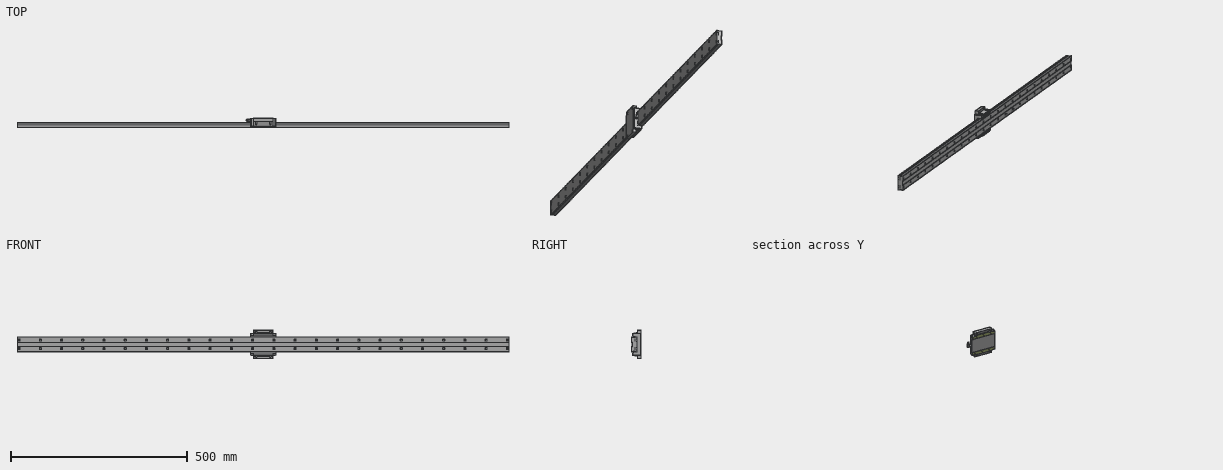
import cadquery as cq
import math


rail_length = 1390.0
rail_width = 42.0
rail_height = 15.0
rail_base_chamfer = 0.5
relief_width = 12.0
relief_depth = 1.5
side_groove_depth = 1.0
side_groove_top = 10.0
side_groove_floor_start = 5.5
side_groove_bottom = 2.2

hole_pitch = 60.0
hole_end_distance = 5.0
hole_row_spacing = 24.0
hole_diameter = 4.5
counterbore_diameter = 7.5
counterbore_depth = 5.3
holes_per_row = int((rail_length - 2 * hole_end_distance) / hole_pitch) + 1

guide_height = 27.0
flange_width = 80.0
flange_thickness = 10.0
flange_chamfer = 0.5
block_length = 54.0
ground_clearance = 3.0
skirt_top_width = 67.1
skirt_taper_angle = 11.5

rail_clearance = 0.5
mouth_width = 54.0
mouth_depth = 2.0

carriage_length = 72.8
seal_thickness = 3.0
cap_width = 62.0
cap_recess = 0.5
cap_top = guide_height - cap_recess
cap_bottom = ground_clearance + cap_recess
seal_inset = 0.7

mount_spacing_x = 40.0
mount_spacing_z = 68.0
mount_diameter = 5.0

nipple_reach = 12.0
nipple_diameter = 6.0
nipple_drop = 6.0
elbow_shoulder = 6.0
nozzle_diameter = 4.0
nozzle_top = 12.0


def extrude_along_x(profile, length):
    """Extrude a closed (y, z) outline symmetrically about x = 0."""
    return cq.Workplane("YZ").polyline(profile).close().extrude(length / 2, both=True)


def mirrored_profile(half_outline):
    """Complete a (y, z) half outline with its mirror image across z = 0."""
    return half_outline + [(y, -z) for y, z in reversed(half_outline)]


def cylinder_along_y(diameter, bottom, top, x, z):
    base = cq.Vector(x, bottom, z)
    return cq.Workplane(cq.Solid.makeCylinder(diameter / 2, top - bottom, base, cq.Vector(0, 1, 0)))


def rail_hole(x, z):
    """Counterbored through hole, as a cutting tool."""
    bore = cylinder_along_y(hole_diameter, 0, rail_height, x, z)
    counterbore = cylinder_along_y(counterbore_diameter, rail_height - counterbore_depth, rail_height, x, z)
    return bore.union(counterbore)


def make_rail():
    side = rail_width / 2
    groove_floor = side - side_groove_depth
    half_outline = [
        (relief_depth, relief_width / 2),
        (0, relief_width / 2),
        (0, side - rail_base_chamfer),
        (rail_base_chamfer, side),
        (side_groove_bottom, side),
        (side_groove_floor_start, groove_floor),
        (side_groove_top, groove_floor),
        (side_groove_top, side),
        (rail_height, side),
    ]
    body = extrude_along_x(mirrored_profile(half_outline), rail_length)
    first_hole = -rail_length / 2 + hole_end_distance
    holes = [
        rail_hole(first_hole + i * hole_pitch, row * hole_row_spacing / 2).val()
        for i in range(holes_per_row)
        for row in (-1, 1)
    ]
    return body.cut(cq.Workplane(cq.Compound.makeCompound(holes)))


def make_block():
    """Flanged block with tapered skirts, before the channel is cut."""
    flange_bottom = guide_height - flange_thickness
    flange_side = flange_width / 2
    skirt_top = skirt_top_width / 2
    skirt_height = flange_bottom - ground_clearance
    skirt_bottom = skirt_top - skirt_height * math.tan(math.radians(skirt_taper_angle))
    half_outline = [
        (ground_clearance, skirt_bottom),
        (flange_bottom, skirt_top),
        (flange_bottom, flange_side - flange_chamfer),
        (flange_bottom + flange_chamfer, flange_side),
        (guide_height, flange_side),
    ]
    block = extrude_along_x(mirrored_profile(half_outline), block_length)
    for x_side in (-1, 1):
        for z_side in (-1, 1):
            x = x_side * mount_spacing_x / 2
            z = z_side * mount_spacing_z / 2
            block = block.cut(cylinder_along_y(mount_diameter, 0, guide_height, x, z))
    return block


def make_end_plates(inset, length):
    """Rectangular bar through the block whose two ends form the caps or the seals."""
    side = cap_width / 2 - inset
    top = cap_top - inset
    return extrude_along_x(mirrored_profile([(cap_bottom, side), (top, side)]), length)


def make_channel():
    """Clearance around the rail with a flared mouth, as a cutting tool."""
    wall = rail_width / 2 + rail_clearance
    half_outline = [
        (0, mouth_width / 2),
        (ground_clearance, mouth_width / 2),
        (ground_clearance + mouth_depth, wall),
        (rail_height + rail_clearance, wall),
    ]
    return extrude_along_x(mirrored_profile(half_outline), carriage_length)


def make_grease_nipple():
    """Stem out of the -X end at mid width, its elbow and narrower nozzle turned up along +Z."""
    radius = nipple_diameter / 2
    axis_y = guide_height - nipple_drop
    cap_face = -carriage_length / 2
    elbow_x = cap_face - nipple_reach + radius
    stem = cq.Solid.makeCylinder(
        radius, cap_face - elbow_x, cq.Vector(elbow_x, axis_y, 0), cq.Vector(1, 0, 0)
    )
    elbow = cq.Solid.makeCylinder(
        radius, elbow_shoulder + radius, cq.Vector(elbow_x, axis_y, -radius), cq.Vector(0, 0, 1)
    )
    nozzle = cq.Solid.makeCylinder(
        nozzle_diameter / 2, nozzle_top, cq.Vector(elbow_x, axis_y, 0), cq.Vector(0, 0, 1)
    )
    return cq.Workplane(stem).union(cq.Workplane(elbow)).union(cq.Workplane(nozzle))


def make_carriage():
    caps = make_end_plates(0, carriage_length - 2 * seal_thickness)
    seals = make_end_plates(seal_inset, carriage_length)
    body = make_block().union(caps).union(seals).cut(make_channel())
    return body.union(make_grease_nipple())


rail = make_rail()
carriage = make_carriage()

result = cq.Compound.makeCompound([rail.val(), carriage.val()])